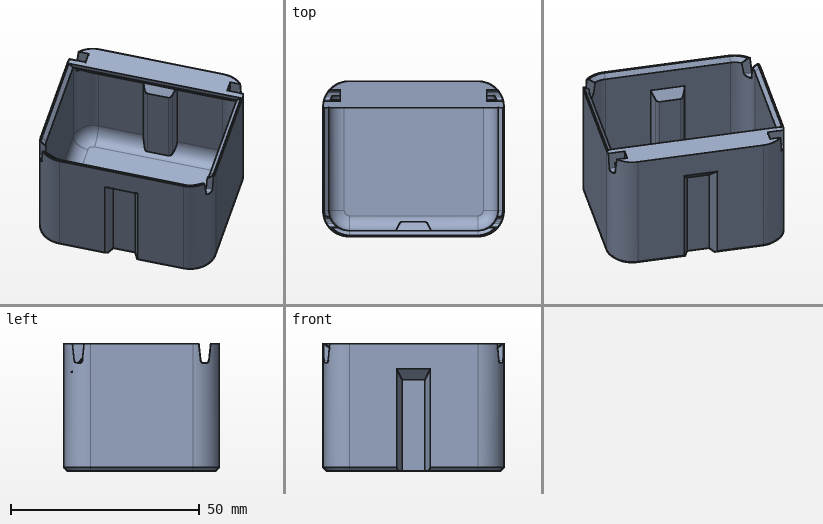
import cadquery as cq
import math

LENGTH = 48.0
WIDTH = 41.2
HEIGHT = 33.7
CORNER_RADIUS = 7.0
BASE_CHAMFER = 1.0

WALL = 1.6
FLOOR = 1.1
FLOOR_FILLET = 4.0
RIM = 0.4
RIM_BEVEL = WALL - RIM
BEVEL_ANGLE = 45.0

LEDGE_DEPTH = CORNER_RADIUS
LEDGE_FACE_HEIGHT = RIM_BEVEL
LEDGE_SLOPE_HEIGHT = 6.9

GROOVE_WIDTH = 9.0
GROOVE_FLOOR_WIDTH = 6.0
GROOVE_DEPTH = 3.0
GROOVE_TOP_DROP = 6.6
GROOVE_TOP_SLOPE = 3.0
RIB_FACE_WALL = 0.95
RIB_SIDE_WALL = 0.85
RIB_EDGE_RADIUS = 1.0

NOTCH_TOP_WIDTH = 3.1
NOTCH_FLOOR_WIDTH = 2.0
NOTCH_DEPTH = 5.1
NOTCH_FLOOR_RADIUS = 0.8
NOTCH_EDGE_DISTANCE = 3.85
NOTCH_REACH = 4.6

HALF_LENGTH = LENGTH / 2
HALF_WIDTH = WIDTH / 2
LEDGE_FRONT = HALF_WIDTH - LEDGE_DEPTH
CUT_MARGIN = 1.0


def rounded_outline(inset, z):
    """Outer outline moved inward by the inset, placed at height z."""
    sketch = cq.Sketch().rect(LENGTH - 2 * inset, WIDTH - 2 * inset)
    sketch = sketch.vertices().fillet(CORNER_RADIUS - inset)
    return cq.Workplane("XY").workplane(offset=z).placeSketch(sketch)


def make_body():
    body = rounded_outline(0, 0).extrude(HEIGHT)
    return body.faces("<Z").edges().chamfer(BASE_CHAMFER)


def make_rim_bevel():
    """Flared opening that thins the wall to the rim width at the top."""
    flare = rounded_outline(WALL, HEIGHT - RIM_BEVEL)
    return flare.extrude(RIM_BEVEL, taper=-BEVEL_ANGLE)


def make_ledge():
    """Solid filling the back of the cavity, with a sloped underside."""
    face_bottom = HEIGHT - LEDGE_FACE_HEIGHT
    profile = (
        cq.Workplane("YZ")
        .moveTo(LEDGE_FRONT, HEIGHT)
        .lineTo(LEDGE_FRONT, face_bottom)
        .lineTo(HALF_WIDTH - WALL, face_bottom - LEDGE_SLOPE_HEIGHT)
        .lineTo(HALF_WIDTH, face_bottom - LEDGE_SLOPE_HEIGHT)
        .lineTo(HALF_WIDTH, HEIGHT)
        .close()
    )
    return profile.extrude(HALF_LENGTH, both=True)


def groove_shape(face_offset=0, side_offset=0):
    """Plan and side profile prisms of the front groove, grown normal to their faces."""
    side_run = (GROOVE_WIDTH - GROOVE_FLOOR_WIDTH) / 2 / GROOVE_DEPTH
    slope = GROOVE_TOP_SLOPE / GROOVE_DEPTH
    depth = GROOVE_DEPTH + face_offset
    mouth = GROOVE_WIDTH / 2 + side_offset * math.hypot(1, side_run)
    floor = mouth - side_run * depth
    top = HEIGHT - GROOVE_TOP_DROP + face_offset * math.hypot(1, slope)
    plan = (
        cq.Workplane("XY")
        .moveTo(-mouth, -HALF_WIDTH)
        .lineTo(mouth, -HALF_WIDTH)
        .lineTo(floor, depth - HALF_WIDTH)
        .lineTo(-floor, depth - HALF_WIDTH)
        .close()
        .extrude(HEIGHT)
    )
    side_profile = (
        cq.Workplane("YZ")
        .moveTo(-HALF_WIDTH, 0)
        .lineTo(-HALF_WIDTH, top)
        .lineTo(depth - HALF_WIDTH, top - slope * depth)
        .lineTo(depth - HALF_WIDTH, 0)
        .close()
        .extrude(HALF_LENGTH, both=True)
    )
    return plan, side_profile


def make_groove():
    plan, side_profile = groove_shape()
    return plan.intersect(side_profile)


def make_rib():
    """Groove shape grown by the wall left around it, with rounded long edges."""
    plan, side_profile = groove_shape(RIB_FACE_WALL, RIB_SIDE_WALL)
    return plan.edges("|Z and >Y").fillet(RIB_EDGE_RADIUS).intersect(side_profile)


def front_and_back(shape):
    return shape.union(shape.mirror("XZ"))


def make_cavity():
    cavity = rounded_outline(WALL, FLOOR).extrude(HEIGHT - FLOOR)
    cavity = cavity.faces("<Z").edges().fillet(FLOOR_FILLET)
    cavity = cavity.union(make_rim_bevel())
    cavity = cavity.cut(make_ledge())
    return cavity.cut(front_and_back(make_rib()))


def make_notch(side, end):
    """Notch reaching inward along X; side and end are -1 or 1."""
    notch = (
        cq.Workplane("YZ")
        .moveTo(-NOTCH_TOP_WIDTH / 2, HEIGHT)
        .lineTo(-NOTCH_FLOOR_WIDTH / 2, HEIGHT - NOTCH_DEPTH)
        .lineTo(NOTCH_FLOOR_WIDTH / 2, HEIGHT - NOTCH_DEPTH)
        .lineTo(NOTCH_TOP_WIDTH / 2, HEIGHT)
        .close()
        .extrude(side * (NOTCH_REACH + CUT_MARGIN))
        .edges("|X and <Z")
        .fillet(NOTCH_FLOOR_RADIUS)
    )
    inner_end = side * (HALF_LENGTH - NOTCH_REACH)
    return notch.translate((inner_end, end * (HALF_WIDTH - NOTCH_EDGE_DISTANCE), 0))


result = make_body().cut(make_cavity()).cut(front_and_back(make_groove()))
for side in (-1, 1):
    for end in (-1, 1):
        result = result.cut(make_notch(side, end))